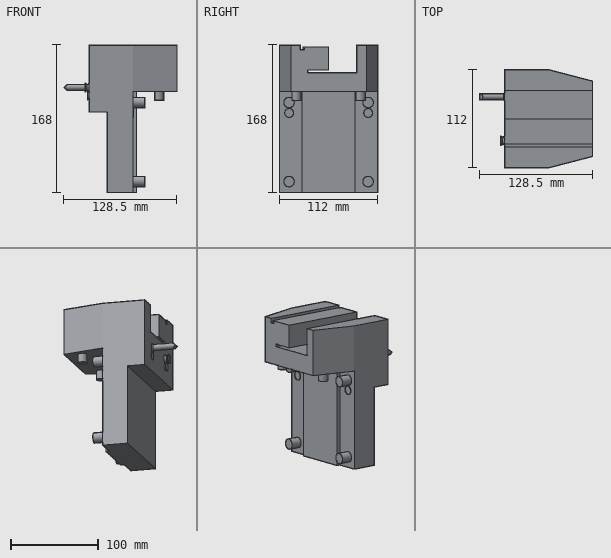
import cadquery as cq

WIDTH = 112.0
HEIGHT = 168.0
HALF_WIDTH = WIDTH / 2

HEAD_LENGTH = 100.0
BACK_X = 50.0
FRONT_STEP_X = 20.5
FRONT_STEP_DEPTH = 76.5
ARM_HEIGHT = 53.0
TAPER = 13.0

SLOT_Y = 32.0
SLOT_DEPTH = 31.5
UNDERCUT_Y = -23.5
UNDERCUT_HEIGHT = 3.0
JAW_Y = 0.0
JAW_DROP = 2.0

GROOVE_WALL_Y = -32.0
GROOVE_MOUTH_WIDTH = 3.1
GROOVE_ROOT_WIDTH = 4.1
GROOVE_LIP_DEPTH = 3.7
GROOVE_DEPTH = 5.2

RAIL_HEIGHT = 4.0
RAIL_WIDTH = 60.0

BACK_PIN_DIAMETER = 12.0
BACK_PIN_LENGTH = 13.3
BACK_PIN_Y = 45.0
BACK_PIN_DEPTH = 65.5
BACK_PIN_SPACING = 90.0
BACK_PIN_ROWS = 2

PAD_DIAMETER = 10.0
PAD_THICKNESS = 0.6
PAD_DEPTH = 77.4

STOP_DIAMETER = 10.5
STOP_LENGTH = 10.0
STOP_X = 79.7
STOP_Y = 36.5

FITTING_Y = 25.0
FITTING_DEPTH = 48.4
FLARE_RADIUS = 5.0
PLUNGER_RADIUS = 3.6
PLUNGER_REACH = 28.46
KNOB_RIM_RADIUS = 5.3
KNOB_NECK_RADIUS = 3.4
KNOB_NECK_REACH = 2.4
KNOB_RIM_THICKNESS = 0.7
KNOB_REACH = 5.0
BUTTON_DEPTH = 57.6
BUTTON_REACH = 2.0
BUTTON_ROOT_RADIUS = 3.7
SEAT_RECESS = 0.2

OVERLAP = 1.0


def make_body():
    """Side outline extruded across the width, with the rear arm tapered in plan."""
    side = (
        cq.Workplane("XZ")
        .moveTo(0, HEIGHT)
        .lineTo(HEAD_LENGTH, HEIGHT)
        .lineTo(HEAD_LENGTH, HEIGHT - ARM_HEIGHT)
        .lineTo(BACK_X, HEIGHT - ARM_HEIGHT)
        .lineTo(BACK_X, 0)
        .lineTo(FRONT_STEP_X, 0)
        .lineTo(FRONT_STEP_X, HEIGHT - FRONT_STEP_DEPTH)
        .lineTo(0, HEIGHT - FRONT_STEP_DEPTH)
        .close()
        .extrude(HALF_WIDTH, both=True)
    )
    plan = (
        cq.Workplane("XY")
        .moveTo(0, -HALF_WIDTH)
        .lineTo(BACK_X, -HALF_WIDTH)
        .lineTo(HEAD_LENGTH, -HALF_WIDTH + TAPER)
        .lineTo(HEAD_LENGTH, HALF_WIDTH - TAPER)
        .lineTo(BACK_X, HALF_WIDTH)
        .lineTo(0, HALF_WIDTH)
        .close()
        .extrude(HEIGHT)
    )
    return side.intersect(plan)


def lengthwise_cut(y_min, y_max, depth_top, depth_bottom):
    """Rectangular channel along the whole head, between two depths below the top."""
    size_y = y_max - y_min
    size_z = depth_bottom - depth_top
    return (
        cq.Workplane("XY")
        .box(HEAD_LENGTH, size_y, size_z, centered=False)
        .translate((0, y_min, HEIGHT - depth_bottom))
    )


def cut_slot(body):
    """Undercut slot, lowered jaw top and relief groove."""
    groove_mouth_y = GROOVE_WALL_Y + GROOVE_MOUTH_WIDTH
    groove_root_y = GROOVE_WALL_Y + GROOVE_ROOT_WIDTH
    channels = [
        lengthwise_cut(JAW_Y, SLOT_Y, 0, SLOT_DEPTH),
        lengthwise_cut(UNDERCUT_Y, JAW_Y, SLOT_DEPTH - UNDERCUT_HEIGHT, SLOT_DEPTH),
        lengthwise_cut(GROOVE_WALL_Y, JAW_Y, 0, JAW_DROP),
        lengthwise_cut(GROOVE_WALL_Y, groove_mouth_y, JAW_DROP, GROOVE_LIP_DEPTH),
        lengthwise_cut(GROOVE_WALL_Y, groove_root_y, GROOVE_LIP_DEPTH, GROOVE_DEPTH),
    ]
    for channel in channels:
        body = body.cut(channel)
    return body


def make_rail():
    """Rail up the middle of the leg's back face, ending under the arm."""
    return (
        cq.Workplane("XY")
        .box(OVERLAP + RAIL_HEIGHT, RAIL_WIDTH, HEIGHT - ARM_HEIGHT, centered=(False, True, False))
        .translate((BACK_X - OVERLAP, 0, 0))
    )


def back_cylinder(diameter, length, y, depth):
    """Cylinder standing on the back face."""
    return (
        cq.Workplane("YZ", origin=(BACK_X - OVERLAP, y, HEIGHT - depth))
        .circle(diameter / 2)
        .extrude(OVERLAP + length)
    )


def make_stop(y):
    """Pin hanging below the rear arm."""
    return (
        cq.Workplane("XY", origin=(STOP_X, y, HEIGHT - ARM_HEIGHT - STOP_LENGTH))
        .circle(STOP_DIAMETER / 2)
        .extrude(STOP_LENGTH + OVERLAP)
    )


def front_turning(profile, y, depth):
    """Turned fitting on the front face; profile lists (reach, radius) from the face outwards."""
    face_radius = profile[0][1]
    outline = cq.Workplane("XY").moveTo(OVERLAP, 0).lineTo(OVERLAP, face_radius)
    for reach, radius in profile:
        outline = outline.lineTo(-reach, radius)
    tip_reach = profile[-1][0]
    turned = outline.lineTo(-tip_reach, 0).close().revolve(axisStart=(0, 0, 0), axisEnd=(1, 0, 0))
    return turned.translate((0, y, HEIGHT - depth))


def make_plunger():
    """Pin with a flared root and a 45 degree wedge tip whose edge runs along Y."""
    flare_reach = FLARE_RADIUS - PLUNGER_RADIUS
    profile = [(0, FLARE_RADIUS), (flare_reach, PLUNGER_RADIUS), (PLUNGER_REACH, PLUNGER_RADIUS)]
    pin = front_turning(profile, FITTING_Y, FITTING_DEPTH)
    wedge_size = PLUNGER_REACH + OVERLAP
    wedge = (
        cq.Workplane("XZ")
        .moveTo(-PLUNGER_REACH, 0)
        .lineTo(OVERLAP, wedge_size)
        .lineTo(OVERLAP, -wedge_size)
        .close()
        .extrude(FLARE_RADIUS, both=True)
        .translate((0, FITTING_Y, HEIGHT - FITTING_DEPTH))
    )
    return pin.intersect(wedge)


def make_knob():
    """Waisted knob with a thin cylindrical rim."""
    profile = [
        (0, FLARE_RADIUS),
        (KNOB_NECK_REACH, KNOB_NECK_RADIUS),
        (KNOB_REACH - KNOB_RIM_THICKNESS, KNOB_RIM_RADIUS),
        (KNOB_REACH, KNOB_RIM_RADIUS),
    ]
    return front_turning(profile, -FITTING_Y, FITTING_DEPTH)


def make_button():
    """Low button, widening away from the face."""
    profile = [(0, BUTTON_ROOT_RADIUS), (BUTTON_REACH, FLARE_RADIUS)]
    return front_turning(profile, -FITTING_Y, BUTTON_DEPTH)


def make_button_seat():
    """Cutter for the shallow round seat below the plunger, level with the button."""
    return (
        cq.Workplane("YZ", origin=(0, FITTING_Y, HEIGHT - BUTTON_DEPTH))
        .circle(FLARE_RADIUS)
        .extrude(SEAT_RECESS)
    )


result = cut_slot(make_body()).cut(make_button_seat()).union(make_rail())
for side in (-1, 1):
    for row in range(BACK_PIN_ROWS):
        pin_depth = BACK_PIN_DEPTH + row * BACK_PIN_SPACING
        result = result.union(
            back_cylinder(BACK_PIN_DIAMETER, BACK_PIN_LENGTH, side * BACK_PIN_Y, pin_depth)
        )
    result = result.union(back_cylinder(PAD_DIAMETER, PAD_THICKNESS, side * BACK_PIN_Y, PAD_DEPTH))
    result = result.union(make_stop(side * STOP_Y))
result = result.union(make_plunger()).union(make_knob()).union(make_button())